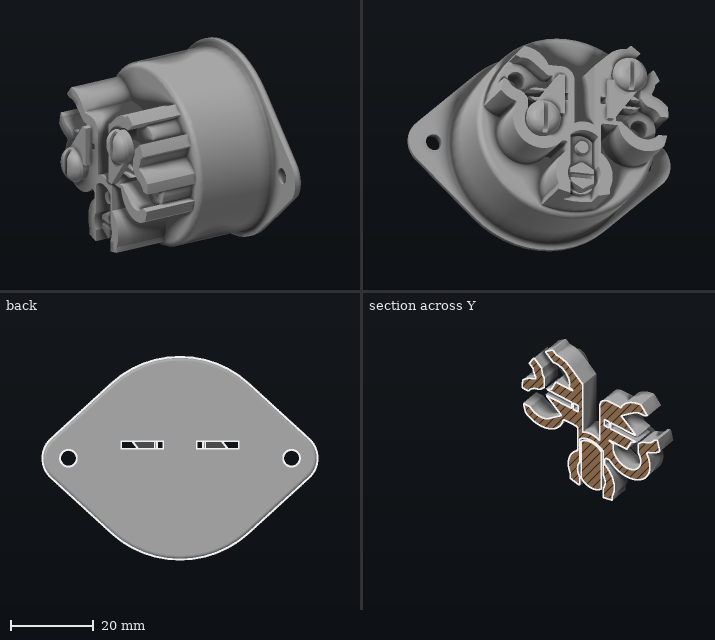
import cadquery as cq
import math


flange_length = 66.7
flange_height = 49.15
flange_thickness = 2.0
flange_rim_radius = 1.0
flange_end_radius = 6.35
mount_hole_diameter = 4.0
body_radius = 22.9
body_depth = 23.0
body_edge_radius = 1.4
body_root_radius = 0.8

tower_depth = 36.4
tower_radius = body_radius - body_edge_radius
boss_radius = 7.2
wall_corner_radius = 3.2
wall_root_radius = 0.55
pocket_depth = 5.35
pocket_floor = tower_depth - pocket_depth
center_z = 3.2

wire_hole = (-15.7, 7.8)
wire_hole_radius = 2.2
wire_hole_depth = 6.7
pocket_radius = 4.2
clamp_screw = (-11.0, -3.35)
blade_slot_left = -14.2
blade_slot_length = 10.15
blade_slot_width = 1.8
jaw_thickness = 0.6
sheet_thickness = 0.35

plate_thickness = 1.75
plate_radius = 3.9
pocket_right = -5.55
pocket_top = 8.15
pocket_bottom = -1.75
pocket_shoulder = (-9.35, pocket_top)
plate_tip_width = 1.55
head_depth = tower_depth + plate_thickness
head_radius = 4.35
head_rim_height = 0.8
head_rim_taper = 0.2
head_top_radius = 1.75
total_depth = 40.55
screw_slot_width = 1.3
screw_slot_depth = 1.55

ground_z = -16.0
ground_half_width = 3.55
ground_top = -4.9
ground_shoulder = -6.3
ground_wall = 4.3
ground_foot_half_width = 6.55
ground_relief_radius = 4.2
ground_strip_gap = 0.4
strip_depth = 32.8
strip_end_radius = 4.1
rivet_z = -8.75
rivet_radius = 1.55
nut_depth = 35.0
nut_base_flat = 3.5
nut_top_flat = 2.95
nut_corner_radius = 3.8
nut_slot_depth = 1.1

screw_exit_half_width = 2.55
screw_exit_wall_half_width = 5.55
hole_exit_half_width = 2.35
hole_exit_z = -1.8
left_exit_half_width = 3.4


def opposite(point):
    """Point turned half a turn about the middle of the two live terminals."""
    return (-point[0], 2 * center_z - point[1])


def turned(shape):
    """Shape turned half a turn about the middle of the two live terminals."""
    return shape.rotate((0, 0, center_z), (0, 1, center_z), 180)


def plane(depth):
    """Sketch plane at a depth, extruding toward -Y."""
    return cq.Workplane("XZ", origin=(0, -depth, 0))


def disc(center, radius, start, end):
    return plane(start).center(*center).circle(radius).extrude(end - start)


def block(x_min, x_max, z_min, z_max, start, end):
    return (
        plane(start)
        .center((x_min + x_max) / 2, (z_min + z_max) / 2)
        .rect(x_max - x_min, z_max - z_min)
        .extrude(end - start)
    )


def prism(points, start, end):
    return plane(start).polyline(points).close().extrude(end - start)


def channel(origin, angle, half_width, start, end):
    """Bar from a point outward past the tower, at an angle from +X toward +Z."""
    bar = block(0, 2 * tower_radius, -half_width, half_width, start, end)
    return bar.rotate((0, 0, 0), (0, 1, 0), -angle).translate((origin[0], 0, origin[1]))


def radial_angle(point):
    return math.degrees(math.atan2(point[1], point[0]))


def tangent_point(point, center, radius, side):
    """Where a line from a point touches a circle; side 1 or -1 picks the touching point."""
    reach_x, reach_z = point[0] - center[0], point[1] - center[1]
    spread = math.acos(radius / math.hypot(reach_x, reach_z))
    angle = math.atan2(reach_z, reach_x) + side * spread
    return (center[0] + radius * math.cos(angle), center[1] + radius * math.sin(angle))


def edge_near(x, z, start, end):
    """Selector of the edge along Y that stands at (x, z) between two depths."""
    return cq.selectors.NearestToPointSelector((x, -(start + end) / 2, z))


def make_flange():
    big_radius = flange_height / 2
    ear_x = flange_length / 2 - flange_end_radius
    cosine = (big_radius - flange_end_radius) / ear_x
    sine = math.sqrt(1 - cosine**2)
    big_x, big_z = big_radius * cosine, big_radius * sine
    end_x, end_z = ear_x + flange_end_radius * cosine, flange_end_radius * sine
    flange = (
        plane(0)
        .moveTo(-big_x, big_z)
        .threePointArc((0, big_radius), (big_x, big_z))
        .lineTo(end_x, end_z)
        .threePointArc((flange_length / 2, 0), (end_x, -end_z))
        .lineTo(big_x, -big_z)
        .threePointArc((0, -big_radius), (-big_x, -big_z))
        .lineTo(-end_x, -end_z)
        .threePointArc((-flange_length / 2, 0), (-end_x, end_z))
        .close()
        .extrude(flange_thickness)
        .faces(">Y")
        .edges()
        .fillet(flange_rim_radius)
    )
    for x in (-ear_x, ear_x):
        flange = flange.cut(disc((x, 0), mount_hole_diameter / 2, 0, flange_thickness))
    return flange


def make_body():
    """Turned body, with a rounded front edge and a rounded root at the flange."""
    root_depth = flange_thickness + body_root_radius
    edge_depth = body_depth - body_edge_radius
    return (
        cq.Workplane("YZ")
        .moveTo(-flange_thickness, 0)
        .lineTo(-flange_thickness, body_radius + body_root_radius)
        .radiusArc((-root_depth, body_radius), body_root_radius)
        .lineTo(-edge_depth, body_radius)
        .radiusArc((-body_depth, body_radius - body_edge_radius), -body_edge_radius)
        .lineTo(-body_depth, 0)
        .close()
        .revolve(360, (0, 0, 0), (1, 0, 0))
    )


def make_tower():
    """Bosses round the wire holes, screws and ground nut, joined by blocks and trimmed round."""
    start, end = body_depth, tower_depth
    slot_wall = 2.55
    left_block_bottom = -8.1
    left_block_top = 10.8
    right_shoulder = (slot_wall, 11.8)
    right_block_bottom = -2.75
    bridge_side_z = -3.35
    bridge_rise = 0.7
    right_screw = opposite(clamp_screw)

    tower = (
        block(clamp_screw[0], -slot_wall, left_block_bottom, left_block_top, start, end)
        .edges("|Y and >X and >Z")
        .fillet(wall_corner_radius)
    )
    for center in (wire_hole, clamp_screw, opposite(wire_hole), right_screw, (0, ground_z)):
        tower = tower.union(disc(center, boss_radius, start, end))

    right_outline = [
        (slot_wall, bridge_side_z),
        right_shoulder,
        tangent_point(right_shoulder, right_screw, boss_radius, -1),
        right_screw,
        opposite(wire_hole),
        (opposite(wire_hole)[0], right_block_bottom),
        (ground_wall, right_block_bottom),
        (ground_wall, bridge_side_z),
    ]
    tower = tower.union(prism(right_outline, start, end))
    exit_angle = radial_angle(right_screw)
    tower = tower.union(
        channel(right_screw, exit_angle, screw_exit_wall_half_width, start, end)
    )

    bridge = (
        plane(start)
        .moveTo(-ground_wall, ground_z)
        .lineTo(-ground_wall, bridge_side_z)
        .lineTo(-slot_wall, bridge_side_z)
        .threePointArc((0, bridge_side_z + bridge_rise), (slot_wall, bridge_side_z))
        .lineTo(ground_wall, bridge_side_z)
        .lineTo(ground_wall, ground_z)
        .close()
        .extrude(end - start)
    )
    foot = block(
        -ground_foot_half_width, ground_foot_half_width, -body_radius, ground_z, start, end
    )
    tower = tower.union(bridge).union(foot)

    notch_half_gap = math.dist(wire_hole, clamp_screw) / 2
    notch_angle = math.acos(notch_half_gap / boss_radius)
    to_hole = math.atan2(wire_hole[1] - clamp_screw[1], wire_hole[0] - clamp_screw[0])
    notch = (
        clamp_screw[0] + boss_radius * math.cos(to_hole + notch_angle),
        clamp_screw[1] + boss_radius * math.sin(to_hole + notch_angle),
    )
    inner_corners = [
        (-ground_wall, left_block_bottom),
        (ground_wall, right_block_bottom),
        notch,
        opposite(notch),
    ]
    for x, z in inner_corners:
        tower = tower.edges(edge_near(x, z, start, end)).fillet(wall_root_radius)
    return tower.intersect(disc((0, 0), tower_radius, start, end))


def make_live_pocket():
    """Recess of the left terminal: round ends at the wire hole and screw, joined by an outline."""
    start, end = pocket_floor, tower_depth
    bulge_start = (-14.4, 1.75)
    bulge_middle = (-15.5, 3.1)
    bulge_end = (-17.0, 3.95)
    outline = (
        plane(start)
        .moveTo(*tangent_point(pocket_shoulder, wire_hole, pocket_radius, 1))
        .lineTo(*pocket_shoulder)
        .lineTo(pocket_right, pocket_top)
        .lineTo(pocket_right, pocket_bottom)
        .lineTo(*clamp_screw)
        .lineTo(bulge_start[0], clamp_screw[1])
        .lineTo(*bulge_start)
        .threePointArc(bulge_middle, bulge_end)
        .lineTo(*wire_hole)
        .close()
        .extrude(end - start)
    )
    pocket = outline.union(disc(wire_hole, pocket_radius, start, end))
    pocket = pocket.union(disc(clamp_screw, pocket_radius, start, end))
    return pocket.union(disc(wire_hole, wire_hole_radius, start - wire_hole_depth, end))


def make_exits():
    """Openings through the tower wall: one at the left wire hole, two on the right terminal."""
    left_angle = radial_angle(wire_hole)
    exits = channel(wire_hole, left_angle, left_exit_half_width, pocket_floor, tower_depth)

    right_screw = opposite(clamp_screw)
    right_hole = opposite(wire_hole)
    screw_angle = radial_angle(right_screw)
    right = channel(right_screw, screw_angle, screw_exit_half_width, body_depth, tower_depth)
    right = right.union(
        channel((right_hole[0], hole_exit_z), 0, hole_exit_half_width, body_depth, tower_depth)
    )
    for center in (right_screw, right_hole):
        right = right.cut(disc(center, pocket_radius, body_depth, pocket_floor))
    return exits.union(right)


def make_contact():
    """Sheet on the left pocket floor, with two jaws that rise beside the blade slot."""
    slot_bottom = center_z - blade_slot_width / 2
    slot_top = center_z + blade_slot_width / 2
    jaw_top = slot_top + jaw_thickness
    jaw_corner = (-8.0, jaw_top)
    jaw_bend_radius = 0.95
    upper_flare = (-12.9, jaw_top)
    lower_flare = (-12.35, 1.3)
    lower_edge = [lower_flare, (clamp_screw[0], pocket_bottom), (pocket_right, pocket_bottom)]
    slot_end = [(blade_slot_left, slot_top), (blade_slot_left, slot_bottom)]

    sheet_outline = slot_end + lower_edge + [(pocket_right, pocket_top), pocket_shoulder]
    sheet = prism(sheet_outline, pocket_floor, pocket_floor + sheet_thickness)
    jaw_outline = slot_end + lower_edge + [
        (pocket_right, pocket_top),
        (jaw_corner[0], pocket_top),
        jaw_corner,
        upper_flare,
    ]
    jaws = prism(jaw_outline, pocket_floor, tower_depth)
    bend = edge_near(*jaw_corner, pocket_floor, tower_depth)
    contact = sheet.union(jaws.edges(bend).fillet(jaw_bend_radius))
    slot_stop = pocket_right - jaw_thickness
    return contact.cut(
        block(blade_slot_left, slot_stop, slot_bottom, slot_top, pocket_floor, tower_depth)
    )


def make_blade_slot():
    return block(
        blade_slot_left,
        blade_slot_left + blade_slot_length,
        center_z - blade_slot_width / 2,
        center_z + blade_slot_width / 2,
        0,
        tower_depth,
    )


def make_clamp():
    """Tapered plate with a round end, held by a slotted dome-head screw."""
    tip = (pocket_right - plate_tip_width, pocket_top)
    outline = [
        tip,
        (pocket_right, pocket_top),
        (pocket_right, pocket_bottom),
        (clamp_screw[0], pocket_bottom),
        clamp_screw,
        tangent_point(tip, clamp_screw, plate_radius, 1),
    ]
    clamp = prism(outline, tower_depth, head_depth)
    clamp = clamp.union(disc(clamp_screw, plate_radius, tower_depth, head_depth))

    rim_top_radius = head_radius - head_rim_taper
    dome_shoulder = (3.35, 39.95)
    head = (
        cq.Workplane("XY")
        .moveTo(0, -head_depth)
        .lineTo(head_radius, -head_depth)
        .lineTo(rim_top_radius, -head_depth - head_rim_height)
        .threePointArc((dome_shoulder[0], -dome_shoulder[1]), (head_top_radius, -total_depth))
        .lineTo(0, -total_depth)
        .close()
        .revolve(360, (0, 0, 0), (0, 1, 0))
    )
    head = head.cut(
        block(
            -screw_slot_width / 2,
            screw_slot_width / 2,
            -head_radius,
            head_radius,
            total_depth - screw_slot_depth,
            total_depth,
        )
    )
    return clamp.union(head.translate((clamp_screw[0], 0, clamp_screw[1])))


def ground_channel(half_width, top, shoulder, start, end):
    """Upright bar with an arched top, running down past the edge of the tower."""
    return (
        plane(start)
        .moveTo(-half_width, -body_radius)
        .lineTo(-half_width, shoulder)
        .threePointArc((0, top), (half_width, shoulder))
        .lineTo(half_width, -body_radius)
        .close()
        .extrude(end - start)
    )


def make_ground_pocket():
    pocket = ground_channel(
        ground_half_width, ground_top, ground_shoulder, pocket_floor, tower_depth
    )
    return pocket.union(disc((0, ground_z), ground_relief_radius, pocket_floor, tower_depth))


def make_ground_contact():
    """Round-ended strip on the pocket floor, carrying a rivet and a slotted, tapered hexagon."""
    half_width = ground_half_width - ground_strip_gap
    strip = ground_channel(
        half_width,
        ground_top - ground_strip_gap,
        ground_shoulder - ground_strip_gap,
        pocket_floor,
        strip_depth,
    )
    strip_limit = block(-half_width, half_width, ground_z, 0, pocket_floor, strip_depth)
    strip_limit = strip_limit.union(
        disc((0, ground_z), strip_end_radius, pocket_floor, strip_depth)
    )
    strip = strip.intersect(strip_limit)

    rivet = disc((0, rivet_z), rivet_radius, strip_depth, nut_depth)
    nut_height = nut_depth - strip_depth
    nut_taper = math.degrees(math.atan((nut_base_flat - nut_top_flat) / nut_height))
    nut = (
        plane(strip_depth)
        .center(0, ground_z)
        .transformed(rotate=(0, 0, 90))
        .polygon(6, 2 * nut_base_flat / math.cos(math.pi / 6))
        .extrude(nut_height, taper=nut_taper)
    )
    nut = nut.intersect(disc((0, ground_z), nut_corner_radius, strip_depth, nut_depth))
    slot = block(
        -nut_base_flat,
        nut_base_flat,
        ground_z - screw_slot_width / 2,
        ground_z + screw_slot_width / 2,
        nut_depth - nut_slot_depth,
        nut_depth,
    )
    return strip.union(rivet).union(nut.cut(slot))


live_pocket = make_live_pocket()
contact = make_contact()
blade_slot = make_blade_slot()
clamp = make_clamp()

result = make_flange().union(make_body()).union(make_tower())
result = result.cut(make_exits()).cut(make_ground_pocket())
result = result.cut(live_pocket).cut(turned(live_pocket))
result = result.cut(blade_slot).cut(turned(blade_slot))
result = result.union(contact).union(turned(contact)).union(make_ground_contact())
result = result.union(clamp).union(turned(clamp))